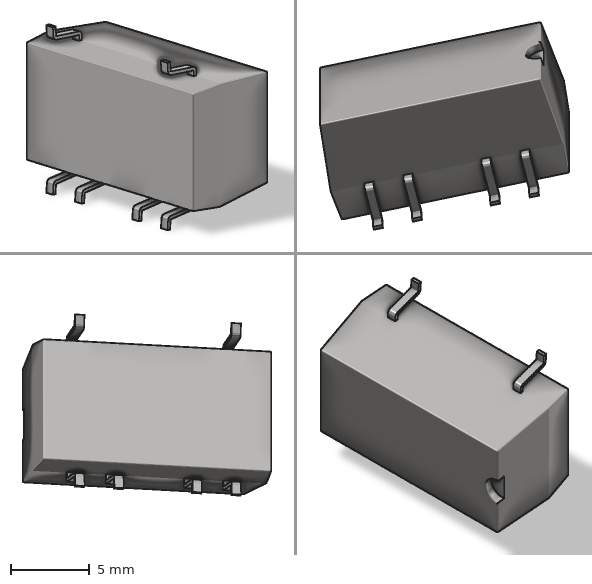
import cadquery as cq
import math

body_length = 15.24
body_height = 8.29
back_depth = 4.72
front_depth = 2.27
draft_angle = 5.0
edge_radius = 0.1

notch_diameter = 2.0
notch_depth = 0.6

lead_pitch = 2.55
lead_width = 0.6
lead_thickness = 0.25
lead_offset = 0.02
lead_embed = 0.45
bend_inner_radius = 0.06
arm_angle = 5.0
foot_angle = 85.0
foot_length = 0.62
leads_height = 11.25
leads_reach = 2.53

top_lead_slots = (-2, 2)
bottom_lead_slots = (-2, -1, 1, 2)


def tapered_half(depth):
    """Half body growing from the parting plane toward +Z, with rounded corner edges."""
    return (
        cq.Workplane("XY")
        .rect(body_length, body_height)
        .extrude(depth, taper=draft_angle)
        .edges("not(<Z or >Z)")
        .fillet(edge_radius)
    )


def round_outer_face(half):
    """Round every edge of the face farthest from the parting plane."""
    return half.faces(">Z").edges().fillet(edge_radius)


def make_notch():
    """Cylinder sunk into the outer face of the back half, centred on its -X edge."""
    edge_x = -body_length / 2 + back_depth * math.tan(math.radians(draft_angle))
    return (
        cq.Workplane("XY", origin=(edge_x, 0, back_depth))
        .circle(notch_diameter / 2)
        .extrude(-notch_depth)
    )


def make_body():
    """Turn the halves to face +Y and -Y; the rim of the notch is rounded with the back face."""
    origin = (0, 0, 0)
    x_axis = (1, 0, 0)
    back_half = round_outer_face(tapered_half(back_depth).cut(make_notch()))
    front_half = round_outer_face(tapered_half(front_depth))
    return back_half.rotate(origin, x_axis, -90).union(front_half.rotate(origin, x_axis, 90))


def polar_step(point, distance, angle):
    """Point reached from another by moving a distance along an angle in degrees."""
    return (
        point[0] + distance * math.cos(math.radians(angle)),
        point[1] + distance * math.sin(math.radians(angle)),
    )


def make_top_lead(x):
    """Flat strip swept along a path: up out of the body, forward along the arm, up the foot."""
    half_thickness = lead_thickness / 2
    bend_radius = bend_inner_radius + half_thickness

    tip = (
        leads_reach - half_thickness * math.sin(math.radians(foot_angle)),
        leads_height / 2 - half_thickness * math.cos(math.radians(foot_angle)),
    )
    foot_start = polar_step(tip, -foot_length, foot_angle)
    foot_centre = polar_step(foot_start, bend_radius, foot_angle + 90)
    foot_bend_middle = polar_step(foot_centre, bend_radius, (arm_angle + foot_angle) / 2 - 90)
    arm_end = polar_step(foot_centre, bend_radius, arm_angle - 90)

    stem_angle = 90
    root_centre_forward = lead_offset + bend_radius
    arm_start_forward = root_centre_forward - bend_radius * math.sin(math.radians(arm_angle))
    arm_rise = (arm_end[0] - arm_start_forward) * math.tan(math.radians(arm_angle))
    arm_start = (arm_start_forward, arm_end[1] - arm_rise)
    root_centre = polar_step(arm_start, bend_radius, arm_angle - 90)
    root_bend_middle = polar_step(root_centre, bend_radius, (arm_angle + stem_angle) / 2 + 90)
    stem_end = (lead_offset, root_centre[1])
    stem_start = (lead_offset, body_height / 2 - lead_embed)

    side_plane = cq.Plane(origin=(x, 0, 0), xDir=(0, -1, 0), normal=(-1, 0, 0))
    path = (
        cq.Workplane(side_plane)
        .moveTo(*stem_start)
        .lineTo(*stem_end)
        .threePointArc(root_bend_middle, arm_start)
        .lineTo(*arm_end)
        .threePointArc(foot_bend_middle, foot_start)
        .lineTo(*tip)
    )
    return (
        cq.Workplane("XY", origin=(x, -stem_start[0], stem_start[1]))
        .rect(lead_width, lead_thickness)
        .sweep(path)
    )


result = make_body()
for slot in top_lead_slots:
    result = result.union(make_top_lead(slot * lead_pitch))
for slot in bottom_lead_slots:
    result = result.union(make_top_lead(slot * lead_pitch).mirror("XY"))